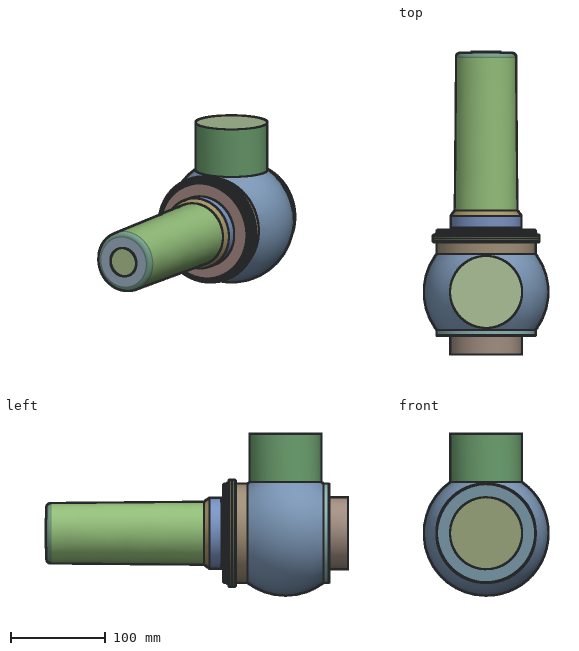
import cadquery as cq


casing_dia = 132.0
barrel_dia = 105.0
pipe_dia = 76.0
suction_face_y = -66.0
outlet_face_z = 105.0
front_flange_y = -46.3
edge_chamfer = 0.8

flange_dia = 113.0
flange_start_y = 52.5
joint_y = 56.2
flange_end_y = 60.5
flange_chamfer = 1.3
flange_bevel = 1.5
rear_rim_y = 65.8
rear_rim_chamfer = 1.5

collar_dia = 75.0
collar_start_y = 67.7
collar_end_y = 80.2
shoulder_end_y = 86.0
spigot_dia = 66.5
tube_root_dia = 66.8
tube_end_dia = 64.0
tube_end_round = 5.0
cap_dia = 30.5
cap_height = 1.0
motor_end_y = suction_face_y + 319.5


def disc(diameter, start_y, end_y):
    """Cylinder on the pump axis between two Y positions."""
    return cq.Workplane("XZ", origin=(0, start_y, 0)).circle(diameter / 2).extrude(start_y - end_y)


def cone(start_dia, end_dia, start_y, end_y):
    """Cone frustum on the pump axis between two Y positions."""
    return cq.Workplane("XY").add(
        cq.Solid.makeCone(
            start_dia / 2, end_dia / 2, end_y - start_y, cq.Vector(0, start_y, 0), cq.Vector(0, 1, 0)
        )
    )


def make_casing():
    sphere = cq.Workplane("XY").sphere(casing_dia / 2)
    envelope = disc(casing_dia, front_flange_y, flange_start_y)
    barrel = disc(barrel_dia, front_flange_y, joint_y).faces("<Y").chamfer(edge_chamfer)
    suction_pipe = disc(pipe_dia, suction_face_y, 0)
    outlet_pipe = cq.Workplane("XY").circle(pipe_dia / 2).extrude(outlet_face_z)
    flange = disc(flange_dia, flange_start_y, joint_y).faces("<Y").chamfer(flange_chamfer)
    casing = sphere.intersect(envelope).union(barrel).union(suction_pipe).union(outlet_pipe)
    return casing.union(flange)


def make_motor_flange():
    flange = disc(flange_dia, joint_y, flange_end_y).faces(">Y").chamfer(flange_chamfer)
    rim = disc(barrel_dia, joint_y, rear_rim_y).faces(">Y").chamfer(rear_rim_chamfer)
    bevel = cone(
        barrel_dia + 2 * flange_bevel, barrel_dia, flange_end_y, flange_end_y + flange_bevel
    )
    return flange.union(rim).union(bevel)


def make_motor():
    tube_end_y = motor_end_y - cap_height
    spigot = disc(spigot_dia, rear_rim_y, collar_start_y)
    collar = disc(collar_dia, collar_start_y, collar_end_y)
    shoulder = cone(collar_dia, tube_root_dia, collar_end_y, shoulder_end_y)
    tube = cone(tube_root_dia, tube_end_dia, shoulder_end_y, tube_end_y)
    tube = tube.faces(">Y").edges().fillet(tube_end_round)
    cap = disc(cap_dia, tube_end_y, motor_end_y)
    return make_motor_flange().union(spigot).union(collar).union(shoulder).union(tube).union(cap)


casing = make_casing()
motor = make_motor()
result = cq.Compound.makeCompound([casing.val(), motor.val()])